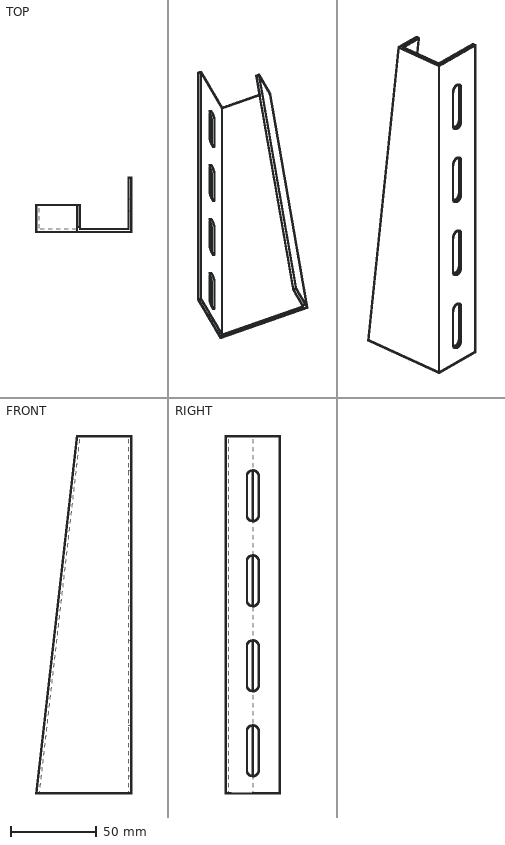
import cadquery as cq
import math

base_width = 56.0
top_width = 32.0
height = 210.1
thickness = 1.79
corner_depth = 3.0
tall_flange = 32.0
short_flange = 16.0
slot_length = 29.9
slot_width = 7.0
slot_span = 150.0
slot_count = 4
first_slot_z = 25.0

slot_pitch = slot_span / (slot_count - 1)

slope_run = base_width - top_width
slope_length = math.hypot(slope_run, height)
normal_x = height / slope_length
normal_z = -slope_run / slope_length


def prism(points, y_start, y_end):
    """Extrude an XZ outline from y_start to y_end."""
    plane = cq.Workplane("XZ", origin=(0, y_start, 0))
    return plane.polyline(points).close().extrude(y_start - y_end)


def web_outline(inset):
    """Tapered web outline with both long sides moved inward by inset."""
    side_shift = inset / normal_x
    return [
        (side_shift, 0),
        (base_width - inset, 0),
        (base_width - inset, height),
        (slope_run + side_shift, height),
    ]


def web_with_corners():
    """Web and its two sharp corners, up to where the flat flanges begin."""
    outer = prism(web_outline(0), 0, tall_flange)
    cavity = prism(web_outline(thickness), thickness, tall_flange)
    corner_zone = cq.Workplane("XY").box(base_width, corner_depth, height, centered=False)
    return outer.cut(cavity).intersect(corner_zone)


def sloping_flange():
    """Short flange whose ends are square to the slope."""
    step_x = thickness * normal_x
    step_z = thickness * normal_z
    outline = [
        (0, 0),
        (slope_run, height),
        (slope_run + step_x, height + step_z),
        (step_x, step_z),
    ]
    return prism(outline, corner_depth, short_flange)


def upright_flange():
    """Tall flange with a row of slots along its middle."""
    flange = cq.Workplane("XY").box(
        thickness, tall_flange - corner_depth, height, centered=False
    ).translate((base_width - thickness, corner_depth, 0))
    slot_centers = [
        (tall_flange / 2, first_slot_z + i * slot_pitch) for i in range(slot_count)
    ]
    slots = (
        cq.Workplane("YZ", origin=(base_width - thickness, 0, 0))
        .pushPoints(slot_centers)
        .slot2D(slot_length, slot_width, 90)
        .extrude(thickness)
    )
    return flange.cut(slots)


result = web_with_corners().union(sloping_flange()).union(upright_flange())